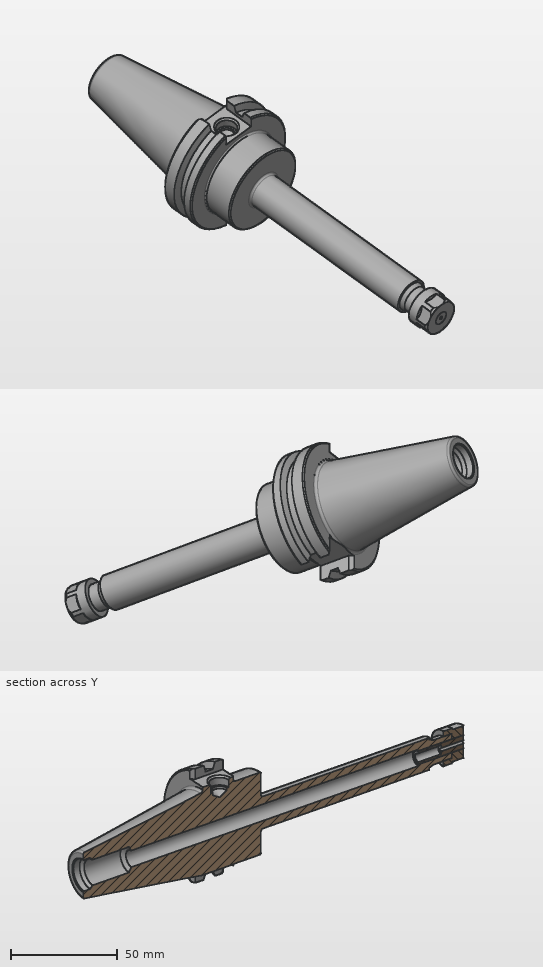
import cadquery as cq
import math

total_length = 220.7
tail_dia = 25.2
tail_round = 1.0
taper_big_dia = 44.4
taper_end = 68.0

flange_start = 69.3
flange_end = 87.2
flange_dia = 63.3
flange_chamfer = 0.7
groove_center = 79.2
groove_floor_dia = 56.5
groove_floor_width = 4.0
groove_mouth_width = 6.6

slot_width = 16.5
slot_entry_chamfer = 1.8
upper_slot_floor = 25.0
lower_slot_floor = 22.3

slot_hole_rim_dia = 12.0
slot_hole_dia = 10.2
slot_hole_depth = 4.9
slot_hole_pilot_dia = 8.0
slot_hole_pilot_depth = 6.2
drill_tip_angle = 118.0

collar_dia = 44.4
collar_end = 103.3
collar_chamfer = 0.7
collar_root_round = 0.9
shaft_dia = 17.5
shaft_root_round = 1.0
shaft_end = 200.8
shoulder_dia = 15.2
neck_dia = 13.5
neck_start = 203.2

tail_mouth_dia = 17.5
tail_bore_dia = 16.5
tail_bore_depth = 4.0
thread_dia = 13.5
thread_depth = 26.5
coolant_dia = 8.5

nut_start = 208.7
nut_end = total_length
nut_dia = 19.0
nut_flats = 17.5
nut_hex_start = 213.8
nut_hex_turn = 30.0
nut_front_chamfer_length = 1.3
nut_front_chamfer_depth = 0.7

collet_start = 194.2
collet_dia = 6.8
collet_back_bore_dia = 4.5
collet_back_bore_depth = 13.2
collet_hole_dia = 1.52


def cylinder_x(diameter, start, end):
    """Cylinder along the X axis."""
    return cq.Workplane("YZ", origin=(start, 0, 0)).circle(diameter / 2).extrude(end - start)


def turn_about_x(outline):
    return outline.close().revolve(360, (0, 0, 0), (1, 0, 0))


def drill_tip_length(radius):
    return radius / math.tan(math.radians(drill_tip_angle / 2))


def turned_shape():
    """Shank, flange, collar, shaft and neck, as one turned outline of (x, radius) points."""
    flange_r = flange_dia / 2
    taper_r = taper_big_dia / 2
    collar_r = collar_dia / 2
    shaft_r = shaft_dia / 2
    tail_r = tail_dia / 2
    flange_round = flange_start - taper_end
    outline = (
        cq.Workplane("XY")
        .lineTo(0, tail_r - tail_round)
        .radiusArc((tail_round, tail_r), tail_round)
        .lineTo(taper_end, taper_r)
        .radiusArc((flange_start, taper_r + flange_round), -flange_round)
        .lineTo(flange_start, flange_r - flange_chamfer)
        .lineTo(flange_start + flange_chamfer, flange_r)
        .lineTo(groove_center - groove_mouth_width / 2, flange_r)
        .lineTo(groove_center - groove_floor_width / 2, groove_floor_dia / 2)
        .lineTo(groove_center + groove_floor_width / 2, groove_floor_dia / 2)
        .lineTo(groove_center + groove_mouth_width / 2, flange_r)
        .lineTo(flange_end - flange_chamfer, flange_r)
        .lineTo(flange_end, flange_r - flange_chamfer)
        .lineTo(flange_end, collar_r + collar_root_round)
        .radiusArc((flange_end + collar_root_round, collar_r), -collar_root_round)
        .lineTo(collar_end - collar_chamfer, collar_r)
        .lineTo(collar_end, collar_r - collar_chamfer)
        .lineTo(collar_end, shaft_r + shaft_root_round)
        .radiusArc((collar_end + shaft_root_round, shaft_r), -shaft_root_round)
        .lineTo(shaft_end, shaft_r)
        .lineTo(shaft_end, shoulder_dia / 2)
        .lineTo(neck_start, neck_dia / 2)
        .lineTo(nut_hex_start, neck_dia / 2)
        .lineTo(nut_hex_start, 0)
    )
    return turn_about_x(outline)


def drive_slot(floor, side):
    """Cutter for one slot; it flares at the shank side of the flange. side is +1 for +Z, -1 for -Z."""
    half = slot_width / 2
    flared_half = half + slot_entry_chamfer
    outline = [
        (taper_end, -flared_half),
        (flange_start, -flared_half),
        (flange_start + slot_entry_chamfer, -half),
        (flange_end, -half),
        (flange_end, half),
        (flange_start + slot_entry_chamfer, half),
        (flange_start, flared_half),
        (taper_end, flared_half),
    ]
    slot = cq.Workplane("XY", origin=(0, 0, side * floor)).polyline(outline).close()
    return slot.extrude(side * flange_dia / 2)


def slot_hole():
    """Cutter for the stepped hole, turned about its own vertical axis."""
    rim_r = slot_hole_rim_dia / 2
    hole_r = slot_hole_dia / 2
    pilot_r = slot_hole_pilot_dia / 2
    outline = [
        (0, 0),
        (rim_r, 0),
        (hole_r, hole_r - rim_r),
        (hole_r, -slot_hole_depth),
        (pilot_r, -slot_hole_depth),
        (pilot_r, -slot_hole_pilot_depth),
        (0, -slot_hole_pilot_depth - drill_tip_length(pilot_r)),
    ]
    profile = cq.Workplane("XZ", origin=(groove_center, 0, upper_slot_floor)).polyline(outline).close()
    return profile.revolve(360, (0, 0, 0), (0, 1, 0))


def tail_bore():
    """Cutter for the threaded tail bore and the coolant channel that leads to the collet."""
    mouth_r = tail_mouth_dia / 2
    bore_r = tail_bore_dia / 2
    thread_r = thread_dia / 2
    coolant_r = coolant_dia / 2
    outline = [
        (0, 0),
        (0, mouth_r),
        (mouth_r - bore_r, bore_r),
        (tail_bore_depth, bore_r),
        (tail_bore_depth + bore_r - thread_r, thread_r),
        (thread_depth, thread_r),
        (thread_depth + drill_tip_length(thread_r - coolant_r), coolant_r),
        (collet_start, coolant_r),
        (collet_start, 0),
    ]
    return turn_about_x(cq.Workplane("XY").polyline(outline))


def make_holder():
    return (
        turned_shape()
        .cut(drive_slot(upper_slot_floor, 1))
        .cut(drive_slot(lower_slot_floor, -1))
        .cut(slot_hole())
        .cut(tail_bore())
        .cut(cylinder_x(collet_dia, collet_start, nut_hex_start))
    )


def make_nut():
    """Round ring at the back, hexagon with turned-off corners at the front."""
    shoulder_chamfer = (nut_dia - nut_flats) / 2
    ring = cylinder_x(nut_dia, nut_start, nut_hex_start + shoulder_chamfer)
    ring = ring.faces(">X").chamfer(shoulder_chamfer)
    hexagon = (
        cq.Workplane("YZ", origin=(nut_start, 0, 0))
        .polygon(6, nut_flats, circumscribed=True)
        .extrude(nut_end - nut_start)
        .rotate((0, 0, 0), (1, 0, 0), nut_hex_turn)
    )
    nut_r = nut_dia / 2
    round_limit = turn_about_x(cq.Workplane("XY").polyline([
        (nut_start, 0),
        (nut_start, nut_r),
        (nut_end - nut_front_chamfer_length, nut_r),
        (nut_end, nut_r - nut_front_chamfer_depth),
        (nut_end, 0),
    ]))
    return (
        ring.union(hexagon.intersect(round_limit))
        .cut(cylinder_x(neck_dia, nut_start, nut_hex_start))
        .cut(cylinder_x(collet_dia, nut_hex_start, nut_end))
    )


def make_collet():
    back_bore_end = collet_start + collet_back_bore_depth
    return (
        cylinder_x(collet_dia, collet_start, total_length)
        .cut(cylinder_x(collet_back_bore_dia, collet_start, back_bore_end))
        .cut(cylinder_x(collet_hole_dia, back_bore_end, total_length))
    )


holder = make_holder()
nut = make_nut()
collet = make_collet()

result = cq.Compound.makeCompound([holder.val(), nut.val(), collet.val()])